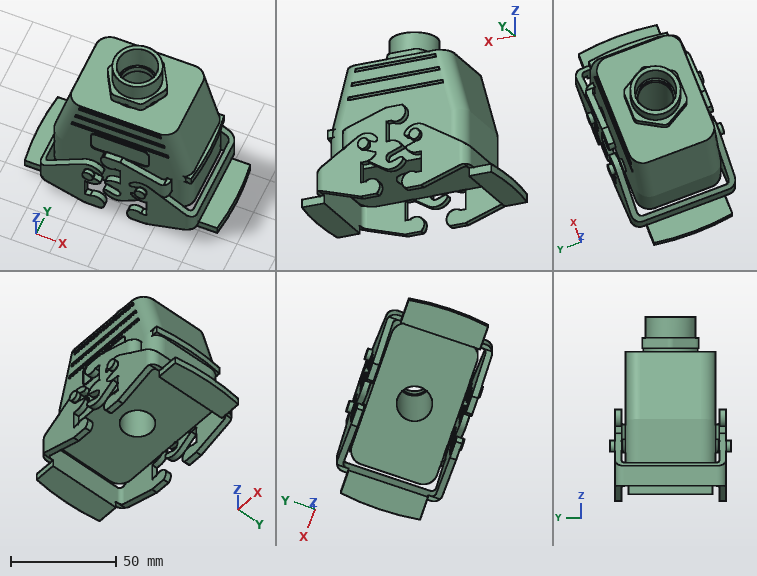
import cadquery as cq
import math


hood_length = 72.5
hood_width = 43.0
hood_height = 54.8
hood_corner_radius = 7.0
shoulder_height = 22.7
end_wall_lean = math.radians(15)
cable_bore = 17.0

recess_depth = 0.5
groove_count = 3
groove_height = 1.4
groove_pitch = 7.05
first_groove_drop = 1.95
label_length = 30.0
label_height = 12.0
label_corner_radius = 2.5
label_drop = 19.5

pin_spacing = 27.0
pin_height = 9.85
pin_end_y = 28.9
pin_collar_diameter = 6.5
pin_collar_length = 1.2
pin_neck_diameter = 4.9
pin_head_diameter = 5.5

gland_collar_diameter = 26.0
gland_collar_height = 1.5
gland_hex_flats = 27.0
gland_hex_height = 5.0
gland_hex_corner_radius = 3.0
gland_tube_diameter = 24.0
gland_tube_height = 10.0
gland_mouth_diameter = 19.8
gland_seat_diameter = 18.92
gland_seat_depth = 13.0

raised_pivot_z = 1.13

lever_outer_y = 26.5
arm_thickness = 3.2
web_outer_x = -26.87
web_thickness = 2.3
bend_outer_radius = 4.4
bend_inner_radius = 2.2
web_top_z = -9.42
web_bottom_z = -18.96

top_edge_slope = math.radians(32)
slot_angle = math.radians(-20)
slot_width = pin_neck_diameter
upper_jaw_radius = 7.36
upper_jaw_center = (0.0, -1.23)
upper_tip_radius = 1.23
lower_jaw_radius = 7.0
lower_jaw_center = (-0.2, -1.63)
lower_tip_radius = 0.8

throat_x = -2.4
hook_radius = 4.6
hook_center = (3.06, -22.64)
hook_bottom_z = -26.2
hook_slope_start_x = -24.6

handle_width = 40.0
handle_thickness = 4.1
handle_tip_x = pin_spacing / 2 - 51.335
handle_bow = 1.5


def at_angle(center, radius, angle):
    """Point on a circle at the given angle from +X."""
    return center[0] + radius * math.cos(angle), center[1] + radius * math.sin(angle)


def tip_center(jaw_center, jaw_radius, tip_radius, side):
    """Center of the rounding that joins a slot edge to the outside of a jaw.

    The rounding touches the slot edge (side +1 above the slot, -1 below) and the jaw's arc from inside.
    """
    along = (math.cos(slot_angle), math.sin(slot_angle))
    across = (-along[1], along[0])
    offset = side * (slot_width / 2 + tip_radius)
    start = (offset * across[0] - jaw_center[0], offset * across[1] - jaw_center[1])
    projection = start[0] * along[0] + start[1] * along[1]
    reach = jaw_radius - tip_radius
    distance = -projection + math.sqrt(projection**2 - start[0] ** 2 - start[1] ** 2 + reach**2)
    return (
        jaw_center[0] + start[0] + distance * along[0],
        jaw_center[1] + start[1] + distance * along[1],
    )


def lever_side_outline():
    """Side outline of the lever in X and Z, clockwise from the top of the web."""
    slot_up = slot_angle + math.pi / 2
    slot_down = slot_angle - math.pi / 2
    slot_back = slot_angle + math.pi

    top_tangent = math.pi / 2 + top_edge_slope
    upper_tip = tip_center(upper_jaw_center, upper_jaw_radius, upper_tip_radius, 1)
    upper_blend = math.atan2(upper_tip[1] - upper_jaw_center[1], upper_tip[0] - upper_jaw_center[0])
    lower_tip = tip_center(lower_jaw_center, lower_jaw_radius, lower_tip_radius, -1)
    lower_blend = math.atan2(lower_tip[1] - lower_jaw_center[1], lower_tip[0] - lower_jaw_center[0])

    jaw_bottom = at_angle(lower_jaw_center, lower_jaw_radius, -math.pi / 2)
    hook_start = math.pi - math.asin((web_bottom_z - hook_center[1]) / hook_radius)
    hook_end = math.asin((hook_bottom_z - hook_center[1]) / hook_radius)

    return (
        cq.Workplane("XZ")
        .moveTo(web_outer_x, web_top_z)
        .lineTo(*at_angle(upper_jaw_center, upper_jaw_radius, top_tangent))
        .threePointArc(
            at_angle(upper_jaw_center, upper_jaw_radius, (top_tangent + upper_blend) / 2),
            at_angle(upper_jaw_center, upper_jaw_radius, upper_blend),
        )
        .threePointArc(
            at_angle(upper_tip, upper_tip_radius, (upper_blend + slot_down) / 2),
            at_angle(upper_tip, upper_tip_radius, slot_down),
        )
        .lineTo(*at_angle((0, 0), slot_width / 2, slot_up))
        .threePointArc(
            at_angle((0, 0), slot_width / 2, slot_back),
            at_angle((0, 0), slot_width / 2, slot_down),
        )
        .lineTo(*at_angle(lower_tip, lower_tip_radius, slot_up))
        .threePointArc(
            at_angle(lower_tip, lower_tip_radius, (slot_up + lower_blend) / 2),
            at_angle(lower_tip, lower_tip_radius, lower_blend),
        )
        .threePointArc(
            at_angle(lower_jaw_center, lower_jaw_radius, (lower_blend - math.pi / 2) / 2),
            jaw_bottom,
        )
        .lineTo(throat_x, jaw_bottom[1])
        .lineTo(throat_x, web_bottom_z)
        .lineTo(*at_angle(hook_center, hook_radius, hook_start))
        .threePointArc(
            at_angle(hook_center, hook_radius, 0),
            at_angle(hook_center, hook_radius, hook_end),
        )
        .lineTo(throat_x, hook_bottom_z)
        .lineTo(hook_slope_start_x, web_bottom_z)
        .lineTo(web_outer_x, web_bottom_z)
        .close()
    )


def rounded_end_block(start_x, half_width, corner_radius):
    """Block running from start_x past the hook, with rounded corners at its start."""
    length = hook_center[0] + 2 * hook_radius - start_x
    height = 2 * (upper_jaw_radius - hook_bottom_z)
    block = cq.Workplane("XY").box(length, 2 * half_width, height, centered=(False, True, True))
    return block.translate((start_x, 0, 0)).edges("|Z and <X").fillet(corner_radius)


def make_lever():
    """U-shaped lever with its pivot axis on Y and its web and handle on the -X side."""
    outside = rounded_end_block(web_outer_x, lever_outer_y, bend_outer_radius)
    inside = rounded_end_block(
        web_outer_x + web_thickness, lever_outer_y - arm_thickness, bend_inner_radius
    )
    frame = lever_side_outline().extrude(lever_outer_y, both=True).intersect(outside).cut(inside)

    web_inner_x = web_outer_x + web_thickness
    handle = (
        cq.Workplane("XY", origin=(0, 0, web_bottom_z))
        .moveTo(web_inner_x, -handle_width / 2)
        .lineTo(handle_tip_x + handle_bow, -handle_width / 2)
        .threePointArc((handle_tip_x, 0), (handle_tip_x + handle_bow, handle_width / 2))
        .lineTo(web_inner_x, handle_width / 2)
        .close()
        .extrude(-handle_thickness)
    )
    return frame.union(handle)


def end_wall_inset(height):
    """How far the leaning end wall has moved in at a height above the shoulder."""
    return (height - shoulder_height) * math.tan(end_wall_lean)


def make_hood_block():
    """Solid hood with upright lower walls, leaning upper end walls and rounded corners."""
    half_length = hood_length / 2
    top_half_length = half_length - end_wall_inset(hood_height)
    return (
        cq.Workplane("XZ")
        .polyline(
            [
                (-half_length, 0),
                (half_length, 0),
                (half_length, shoulder_height),
                (top_half_length, hood_height),
                (-top_half_length, hood_height),
                (-half_length, shoulder_height),
            ]
        )
        .close()
        .extrude(hood_width / 2, both=True)
        .edges("not (|Y or |X)")
        .fillet(hood_corner_radius)
    )


def flat_half_length(height):
    """Half length of the flat part of a long face, between the rounded corners."""
    corner = hood_corner_radius / math.cos(end_wall_lean)
    return hood_length / 2 - end_wall_inset(height) - corner


def make_grooves():
    """Cutters for the horizontal grooves in both long faces."""
    cutters = cq.Workplane("XY")
    for index in range(groove_count):
        top = hood_height - first_groove_drop - index * groove_pitch
        bottom = top - groove_height
        outline = [
            (-flat_half_length(bottom), bottom),
            (flat_half_length(bottom), bottom),
            (flat_half_length(top), top),
            (-flat_half_length(top), top),
        ]
        for face_y in (-hood_width / 2, hood_width / 2):
            groove = cq.Workplane("XZ", origin=(0, face_y, 0)).polyline(outline).close()
            cutters = cutters.add(groove.extrude(recess_depth, both=True))
    return cutters.combine()


def make_label_recess():
    """Cutter for the rounded label field in the -Y face."""
    middle_z = hood_height - label_drop - label_height / 2
    return (
        cq.Workplane("XY")
        .box(label_length, 2 * recess_depth, label_height)
        .edges("|Y")
        .fillet(label_corner_radius)
        .translate((0, -hood_width / 2, middle_z))
    )


def make_pins():
    """Four stepped pivot pins, each a collar, a neck in the lever slot and a head outside the lever."""
    collar_end_y = hood_width / 2 + pin_collar_length
    pins = cq.Workplane("XY")
    for side in (-1, 1):
        for pin_x in (-pin_spacing / 2, pin_spacing / 2):
            base = cq.Workplane("XZ", origin=(pin_x, side * hood_width / 2, pin_height))
            pin = base.circle(pin_collar_diameter / 2).extrude(-side * pin_collar_length)
            neck = base.workplane(offset=-side * pin_collar_length)
            pin = pin.union(
                neck.circle(pin_neck_diameter / 2).extrude(-side * (lever_outer_y - collar_end_y))
            )
            head = base.workplane(offset=-side * (lever_outer_y - hood_width / 2))
            pin = pin.union(head.circle(pin_head_diameter / 2).extrude(-side * (pin_end_y - lever_outer_y)))
            pins = pins.add(pin)
    return pins


def make_gland():
    """Hex cable gland that stands on the hood, bored with a tapered mouth above a straight bore."""
    hex_corners = gland_hex_flats / math.cos(math.pi / 6)
    gland_height = gland_collar_height + gland_hex_height + gland_tube_height
    seat_z = gland_height - gland_seat_depth
    collar = cq.Workplane("XY").circle(gland_collar_diameter / 2).extrude(gland_collar_height)
    hexagon = (
        cq.Workplane("XY", origin=(0, 0, gland_collar_height))
        .polygon(6, hex_corners)
        .extrude(gland_hex_height)
        .edges("|Z")
        .fillet(gland_hex_corner_radius)
    )
    tube = (
        cq.Workplane("XY", origin=(0, 0, gland_collar_height + gland_hex_height))
        .circle(gland_tube_diameter / 2)
        .extrude(gland_tube_height)
    )
    bore = (
        cq.Workplane("XZ")
        .polyline(
            [
                (0, 0),
                (cable_bore / 2, 0),
                (cable_bore / 2, seat_z),
                (gland_seat_diameter / 2, seat_z),
                (gland_mouth_diameter / 2, gland_height),
                (0, gland_height),
            ]
        )
        .close()
        .revolve(360, (0, 0, 0), (0, 1, 0))
    )
    return collar.union(hexagon).union(tube).cut(bore).translate((0, 0, hood_height))


lever = make_lever()
pins = make_pins()
side_levers = []
for turn in (0, 180):
    hung_lever = lever.translate((-pin_spacing / 2, 0, pin_height)).rotate((0, 0, 0), (0, 0, 1), turn)
    side_levers.append(hung_lever)

raised_lever = lever.rotate((0, 0, 0), (0, 1, 0), 180).translate((0, 0, raised_pivot_z))
raised_lever = raised_lever.cut(side_levers[1])
for pin in pins.vals():
    raised_lever = raised_lever.cut(cq.Workplane(pin))

cable_hole = cq.Workplane("XY").circle(cable_bore / 2).extrude(hood_height)
hood = make_hood_block().cut(make_grooves()).cut(make_label_recess()).cut(cable_hole).cut(raised_lever)
for pin in pins.vals():
    hood = hood.union(cq.Workplane(pin))

gland = make_gland()

result = cq.Compound.makeCompound(
    [body.solids().val() for body in (hood, gland, *side_levers, raised_lever)]
)